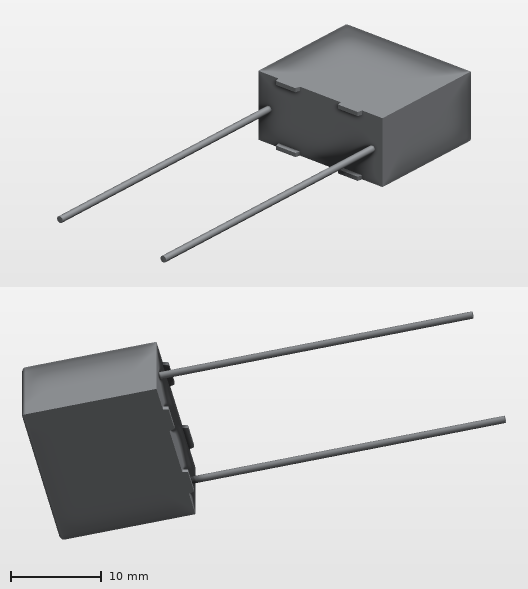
import cadquery as cq

TOTAL_LENGTH = 51.0
HOUSING_WIDTH = 18.0
HOUSING_LENGTH = 15.4
HOUSING_HEIGHT = 8.5
BACK_FILLET = 0.5

TAB_BASE_WIDTH = 3.1
TAB_TIP_WIDTH = 2.8
TAB_LENGTH = 0.6
TAB_THICKNESS = 0.5
TAB_PITCH = 9.05

LEAD_DIAMETER = 0.8
LEAD_PITCH = 15.0
LEAD_LENGTH = TOTAL_LENGTH - HOUSING_LENGTH


def make_tab(center_x, bottom_z):
    """Tapered tab that stands out of the lead face, which lies at Y = 0."""
    return (
        cq.Workplane("XY", origin=(center_x, 0, bottom_z))
        .moveTo(-TAB_BASE_WIDTH / 2, 0)
        .lineTo(-TAB_TIP_WIDTH / 2, -TAB_LENGTH)
        .lineTo(TAB_TIP_WIDTH / 2, -TAB_LENGTH)
        .lineTo(TAB_BASE_WIDTH / 2, 0)
        .close()
        .extrude(TAB_THICKNESS)
    )


def make_housing():
    """Box with its back edges rounded and four tabs on the lead face."""
    body = (
        cq.Workplane("XY")
        .box(HOUSING_WIDTH, HOUSING_LENGTH, HOUSING_HEIGHT, centered=(True, False, True))
        .faces(">Y")
        .edges()
        .fillet(BACK_FILLET)
    )
    lower_tab_z = -HOUSING_HEIGHT / 2
    upper_tab_z = HOUSING_HEIGHT / 2 - TAB_THICKNESS
    for center_x in (-TAB_PITCH / 2, TAB_PITCH / 2):
        for bottom_z in (lower_tab_z, upper_tab_z):
            body = body.union(make_tab(center_x, bottom_z))
    return body


def make_lead(center_x):
    """Round wire that starts on the lead face and runs toward -Y."""
    return (
        cq.Workplane("XZ", origin=(center_x, 0, 0))
        .circle(LEAD_DIAMETER / 2)
        .extrude(LEAD_LENGTH)
    )


housing = make_housing()
leads = [make_lead(center_x) for center_x in (-LEAD_PITCH / 2, LEAD_PITCH / 2)]

result = cq.Compound.makeCompound([housing.val(), *[lead.val() for lead in leads]])